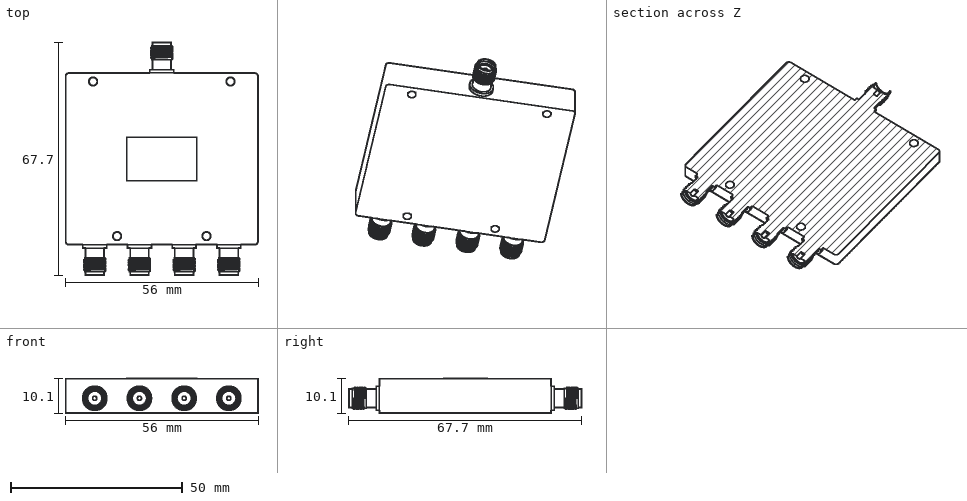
import cadquery as cq

BODY_WIDTH = 56.0
TOTAL_LENGTH = 67.7
BODY_HEIGHT = 10.0
CORNER_RADIUS = 1.0

LABEL_WIDTH = 20.25
LABEL_LENGTH = 12.65
LABEL_THICKNESS = 0.1

MOUNT_HOLE_DIAMETER = 2.4
MOUNT_HOLE_EDGE_DISTANCE = 2.5
INPUT_SIDE_HOLE_SPACING = 39.95
OUTPUT_SIDE_HOLE_SPACING = 26.0

FLANGE_DIAMETER = 7.05
FLANGE_LENGTH = 0.95
BARREL_DIAMETER = 5.5
BARREL_LENGTH = 2.85
THREAD_DIAMETER = 6.35
THREAD_LENGTH = 4.1
THREAD_PITCH = 0.7
THREAD_TURNS = 5
THREAD_CORE_DIAMETER = 5.8
THREAD_ROOT_OVERLAP = 0.1
RIDGE_ROOT_WIDTH = 0.6
RIDGE_CREST_WIDTH = 0.15
TIP_LENGTH = 0.95
BORE_DIAMETER = 4.9
BORE_STRAIGHT_DEPTH = 1.5
BORE_FLOOR_DIAMETER = 4.2
BORE_TAPER_DEPTH = 0.3
SOCKET_DIAMETER = 1.2
SOCKET_DEPTH = 2.0
CONNECTOR_AXIS_HEIGHT = 4.3
OUTPUT_COUNT = 4
OUTPUT_SPACING = 13.0

CONNECTOR_LENGTH = FLANGE_LENGTH + BARREL_LENGTH + THREAD_LENGTH + TIP_LENGTH
BODY_LENGTH = TOTAL_LENGTH - 2 * CONNECTOR_LENGTH


def make_housing():
    housing = cq.Workplane("XY").box(BODY_WIDTH, BODY_LENGTH, BODY_HEIGHT, centered=(True, True, False))
    housing = housing.edges("|Z").fillet(CORNER_RADIUS)
    label = (
        cq.Workplane("XY", origin=(0, 0, BODY_HEIGHT))
        .rect(LABEL_WIDTH, LABEL_LENGTH)
        .extrude(LABEL_THICKNESS)
    )
    return housing.union(label)


def drill_mounting_holes(housing):
    hole_y = BODY_LENGTH / 2 - MOUNT_HOLE_EDGE_DISTANCE
    input_x = INPUT_SIDE_HOLE_SPACING / 2
    output_x = OUTPUT_SIDE_HOLE_SPACING / 2
    centers = [(-input_x, hole_y), (input_x, hole_y), (-output_x, -hole_y), (output_x, -hole_y)]
    holes = cq.Workplane("XY").pushPoints(centers).circle(MOUNT_HOLE_DIAMETER / 2).extrude(BODY_HEIGHT)
    return housing.cut(holes)


def make_thread_ridge(start):
    """Helical ridge of trapezoid section, centred along the threaded stretch."""
    core_radius = THREAD_CORE_DIAMETER / 2
    crest_radius = THREAD_DIAMETER / 2
    root_radius = core_radius - THREAD_ROOT_OVERLAP
    helix_height = THREAD_PITCH * THREAD_TURNS
    first_turn = start + (THREAD_LENGTH - helix_height) / 2
    helix = cq.Wire.makeHelix(THREAD_PITCH, helix_height, core_radius, center=cq.Vector(0, 0, first_turn))
    section = [
        (root_radius, first_turn - RIDGE_ROOT_WIDTH / 2),
        (crest_radius, first_turn - RIDGE_CREST_WIDTH / 2),
        (crest_radius, first_turn + RIDGE_CREST_WIDTH / 2),
        (root_radius, first_turn + RIDGE_ROOT_WIDTH / 2),
    ]
    return cq.Workplane("XZ").polyline(section).close().sweep(cq.Workplane(obj=helix), isFrenet=True)


def make_bore():
    """Open bore in the tip, tapered at its floor, with the centre contact socket below it."""
    bore_floor = CONNECTOR_LENGTH - BORE_STRAIGHT_DEPTH - BORE_TAPER_DEPTH
    socket_floor = bore_floor - SOCKET_DEPTH
    half_section = [
        (0, socket_floor),
        (SOCKET_DIAMETER / 2, socket_floor),
        (SOCKET_DIAMETER / 2, bore_floor),
        (BORE_FLOOR_DIAMETER / 2, bore_floor),
        (BORE_DIAMETER / 2, bore_floor + BORE_TAPER_DEPTH),
        (BORE_DIAMETER / 2, CONNECTOR_LENGTH),
        (0, CONNECTOR_LENGTH),
    ]
    return cq.Workplane("XZ").polyline(half_section).close().revolve(360, (0, 0), (0, 1))


def make_connector():
    """Connector standing along +Z with the back of its flange at Z = 0."""
    thread_start = FLANGE_LENGTH + BARREL_LENGTH
    connector = cq.Workplane("XY").circle(FLANGE_DIAMETER / 2).extrude(FLANGE_LENGTH)
    barrel = cq.Workplane("XY").circle(BARREL_DIAMETER / 2).extrude(CONNECTOR_LENGTH)
    thread_core = (
        cq.Workplane("XY", origin=(0, 0, thread_start))
        .circle(THREAD_CORE_DIAMETER / 2)
        .extrude(THREAD_LENGTH)
    )
    connector = connector.union(barrel).union(thread_core).union(make_thread_ridge(thread_start))
    return connector.cut(make_bore())


result = drill_mounting_holes(make_housing())

connector = make_connector()
output_connector = connector.rotate((0, 0, 0), (1, 0, 0), 90)
input_connector = connector.rotate((0, 0, 0), (1, 0, 0), -90)

result = result.union(input_connector.translate((0, BODY_LENGTH / 2, CONNECTOR_AXIS_HEIGHT)))
for index in range(OUTPUT_COUNT):
    output_x = (index - (OUTPUT_COUNT - 1) / 2) * OUTPUT_SPACING
    result = result.union(output_connector.translate((output_x, -BODY_LENGTH / 2, CONNECTOR_AXIS_HEIGHT)))